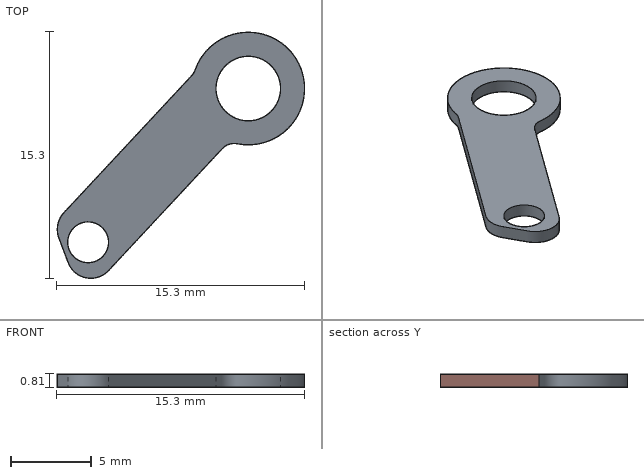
import cadquery as cq
import math

thickness = 0.81
ring_radius = 3.5
ring_hole_radius = 2.0
pin_hole_radius = 1.26
pin_hole_center = (-9.93, -9.53)

arm_angle = 47.0
upper_edge_across = 3.12
lower_edge_across = -1.37
end_corner_radius = 1.5
junction_fillet_radius = 1.0

reach_left = 11.85
reach_down = 11.77

cos_arm = math.cos(math.radians(arm_angle))
sin_arm = math.sin(math.radians(arm_angle))


def arm_point(along, across):
    """Convert arm-frame coordinates to X and Y."""
    return (along * cos_arm - across * sin_arm, along * sin_arm + across * cos_arm)


def make_arm():
    """Arm whose slanted end is tangent to both of its rounded corners."""
    radius = end_corner_radius
    upper_across = upper_edge_across - radius
    lower_across = lower_edge_across + radius
    upper_along = (radius - reach_left + upper_across * sin_arm) / cos_arm
    lower_along = (radius - reach_down - lower_across * cos_arm) / sin_arm

    end_normal = math.atan2(lower_along - upper_along, upper_across - lower_across) + math.pi

    def corner_point(along, across, angle):
        return arm_point(along + radius * math.cos(angle), across + radius * math.sin(angle))

    upper_middle_angle = (math.pi / 2 + end_normal) / 2
    lower_middle_angle = (3 * math.pi / 2 + end_normal) / 2

    return (
        cq.Workplane("XY")
        .moveTo(*arm_point(0, upper_edge_across))
        .lineTo(*arm_point(upper_along, upper_edge_across))
        .threePointArc(
            corner_point(upper_along, upper_across, upper_middle_angle),
            corner_point(upper_along, upper_across, end_normal),
        )
        .lineTo(*corner_point(lower_along, lower_across, end_normal))
        .threePointArc(
            corner_point(lower_along, lower_across, lower_middle_angle),
            arm_point(lower_along, lower_edge_across),
        )
        .lineTo(*arm_point(0, lower_edge_across))
        .close()
        .extrude(thickness)
    )


def fillet_junction(body, edge_across):
    """Round the inside corner where an arm edge meets the ring."""
    along = -math.sqrt(ring_radius**2 - edge_across**2)
    x, y = arm_point(along, edge_across)
    corner_edge = cq.selectors.NearestToPointSelector((x, y, thickness / 2))
    return body.edges("|Z").edges(corner_edge).fillet(junction_fillet_radius)


def make_hole(center, radius):
    return cq.Workplane("XY").center(*center).circle(radius).extrude(thickness)


ring = cq.Workplane("XY").circle(ring_radius).extrude(thickness)
result = ring.union(make_arm())

for edge_across in (upper_edge_across, lower_edge_across):
    result = fillet_junction(result, edge_across)

result = result.cut(make_hole((0, 0), ring_hole_radius))
result = result.cut(make_hole(pin_hole_center, pin_hole_radius))